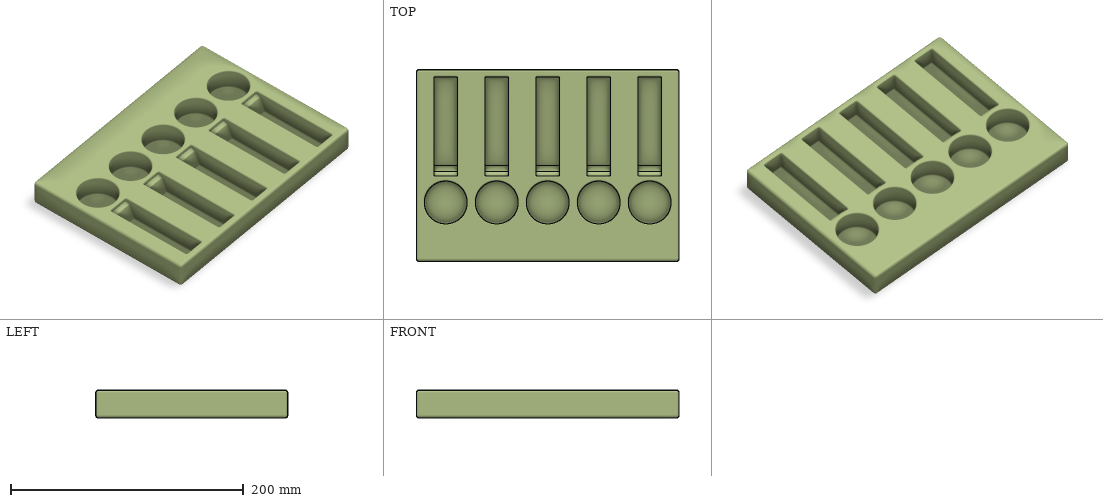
import cadquery as cq
import math

LENGTH = 226.04
WIDTH = 165.1
HEIGHT = 24.13
BODY_FILLET = 2.54

STATIONS = 5
PITCH = 43.815

RIM_FILLET = 1.27
FLOOR_FILLET = 1.27

POCKET_WIDTH = 20.32
POCKET_BACK_Y = 76.2
POCKET_FRONT_Y = -9.15
POCKET_DEPTH = 19.05
RAMP_FOOT_Y = 0.15
RAMP_ANGLE = 67.5
KNEE_Y = -5.3
LEDGE_ANGLE = 26.7

CUP_DIAMETER = 36.83
CUP_CENTER_Y = -31.75
CUP_DEPTH = 19.05


def rise(run, angle):
    """Height gained over a horizontal run at the given angle from level."""
    return run * math.tan(math.radians(angle))


def make_body():
    block = cq.Workplane("XY").box(LENGTH, WIDTH, HEIGHT, centered=(True, True, False))
    return block.edges().fillet(BODY_FILLET)


def make_pocket():
    """Solid that fills one pocket at x = 0, its upright corners and floor sides rounded."""
    floor_z = HEIGHT - POCKET_DEPTH
    knee_z = floor_z + rise(RAMP_FOOT_Y - KNEE_Y, RAMP_ANGLE)
    ledge_z = knee_z + rise(KNEE_Y - POCKET_FRONT_Y, LEDGE_ANGLE)
    pocket = (
        cq.Workplane("YZ", origin=(-POCKET_WIDTH / 2, 0, 0))
        .moveTo(POCKET_BACK_Y, HEIGHT)
        .lineTo(POCKET_BACK_Y, floor_z)
        .lineTo(RAMP_FOOT_Y, floor_z)
        .lineTo(KNEE_Y, knee_z)
        .lineTo(POCKET_FRONT_Y, ledge_z)
        .lineTo(POCKET_FRONT_Y, HEIGHT)
        .close()
        .extrude(POCKET_WIDTH)
    )
    wall_edges = pocket.faces("<X or >X").edges("not >Z")
    back_floor_edge = pocket.faces(">Y").edges("<Z")
    return wall_edges.add(back_floor_edge).fillet(FLOOR_FILLET)


def make_cup():
    """Solid that fills one cup at x = 0, its floor edge rounded."""
    cup = cq.Workplane("XY", origin=(0, CUP_CENTER_Y, HEIGHT - CUP_DEPTH))
    cup = cup.circle(CUP_DIAMETER / 2).extrude(CUP_DEPTH)
    return cup.faces("<Z").edges().fillet(FLOOR_FILLET)


def round_rims(tray):
    """Round the edge where every pocket and cup opens through the top face."""
    rim_edges = [edge for wire in tray.faces(">Z").val().innerWires() for edge in wire.Edges()]
    return tray.newObject(rim_edges).fillet(RIM_FILLET)


tray = make_body()
pocket = make_pocket()
cup = make_cup()
for station in range(STATIONS):
    station_x = (station - (STATIONS - 1) / 2) * PITCH
    tray = tray.cut(pocket.translate((station_x, 0, 0)))
    tray = tray.cut(cup.translate((station_x, 0, 0)))

result = round_rims(tray)